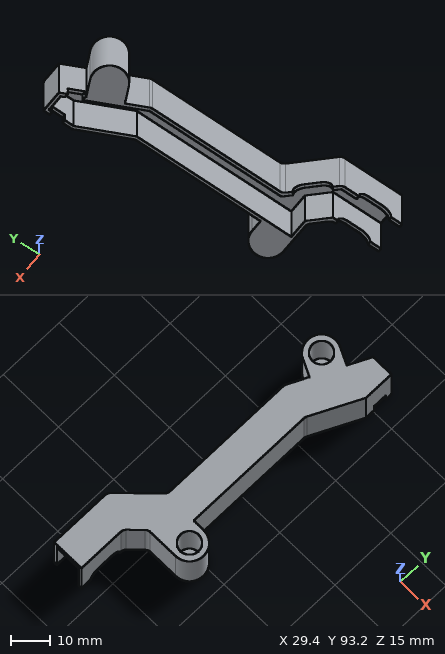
import cadquery as cq
import math

length = 93.2
height = 15.0
width = 10.0
wall = 1.0
roof = 2.0
bend_radius = 2.0

column_x = 10.9
lower_bend_y = 19.0
lower_angle = 45.0
upper_bend_y = 71.6
upper_angle = 26.0
tip_x = 28.0

boss_radius = 5.0
hole_diameter = 6.4
boss_floor = 2.0
lower_boss = (24.4, 24.4)
upper_boss = (11.4, 84.6)

arch_width = 10.25
arch_height = 3.1
arch_corner_radius = 3.0
mouth_arch_y = 8.6
tip_notch_height = 2.8
tip_notch_start = 87.0
tip_notch_end = 91.1

lower_slope = math.tan(math.radians(lower_angle))
upper_slope = math.tan(math.radians(upper_angle))
column_right = column_x + width
lower_bend_top = lower_bend_y + column_x / lower_slope
lower_bend_drop = width * math.tan(math.radians(lower_angle / 2))
upper_bend_drop = width * math.tan(math.radians(upper_angle / 2))
right_upper_bend_y = upper_bend_y - upper_bend_drop
tip_bend_y = right_upper_bend_y + (tip_x - column_right) / upper_slope
tip_left_x = column_x + (length - upper_bend_y) * upper_slope

left_bends = [(column_x, upper_bend_y), (column_x, lower_bend_top), (0, lower_bend_y)]
right_bends = [
    (width, lower_bend_y - lower_bend_drop),
    (column_right, lower_bend_top - lower_bend_drop),
    (column_right, right_upper_bend_y),
]
tip_points = [(tip_x, tip_bend_y), (tip_x, length), (tip_left_x, length)]
boss_bottom_y = lower_boss[1] - boss_radius
boss_corner = (width + (boss_bottom_y - right_bends[0][1]) * lower_slope, boss_bottom_y)
cavity_right_bends = [right_bends[0], boss_corner, (column_right, boss_bottom_y), right_bends[2]]


def channel_outline(right_side):
    """Closed plan outline of the channel with the given bends along its right face."""
    points = [(0, 0), (width, 0)] + right_side + tip_points + left_bends
    return cq.Workplane("XY").polyline(points).close()


def boss_with_arm(center, direction):
    """Round boss with a straight arm of the same width, reaching into the channel."""
    arm_length = 2 * boss_radius
    arm = cq.Workplane("XY").box(arm_length, 2 * boss_radius, height, centered=(False, True, False))
    post = cq.Workplane("XY").circle(boss_radius).extrude(height)
    return post.union(arm).rotate((0, 0, 0), (0, 0, 1), direction).translate((*center, 0))


def round_edge_at(body, point):
    """Round the vertical edge that stands at a plan position."""
    tiny = 0.1
    selector = cq.selectors.BoxSelector(
        (point[0] - tiny, point[1] - tiny, 0), (point[0] + tiny, point[1] + tiny, height)
    )
    return body.edges("|Z").edges(selector).fillet(bend_radius)


def arch_cutter(center, direction, depth):
    """Round-topped notch centred on a plan position, passing along a plan direction."""
    cutter = cq.Workplane("XY").box(depth, arch_width, arch_height, centered=(True, True, False))
    cutter = cutter.edges("|X and >Z").fillet(arch_corner_radius)
    return cutter.rotate((0, 0, 0), (0, 0, 1), direction).translate((*center, 0))


body = channel_outline(right_bends).extrude(height)
body = body.union(boss_with_arm(lower_boss, 180))
body = body.union(boss_with_arm(upper_boss, -upper_angle))

rounded_corners = left_bends + [right_bends[0], boss_corner, right_bends[2]]
for corner in rounded_corners:
    body = round_edge_at(body, corner)

cavity_height = height - roof
cavity = channel_outline(cavity_right_bends).offset2D(-wall, "intersection").extrude(cavity_height)
mouth = cq.Workplane("XY").box(width - 2 * wall, 2 * wall, cavity_height, centered=False)
body = body.cut(cavity).cut(mouth.translate((wall, 0, 0)))

holes = cq.Workplane("XY").workplane(offset=boss_floor).pushPoints([lower_boss, upper_boss])
body = body.cut(holes.circle(hole_diameter / 2).extrude(height - boss_floor))

slant_middle = (column_x / 2, (lower_bend_y + lower_bend_top) / 2)
body = body.cut(arch_cutter((width / 2, mouth_arch_y), 0, 2 * width))
body = body.cut(arch_cutter(slant_middle, 90 + lower_angle, 4 * wall))

tip_notch_x = column_x + (tip_notch_start - upper_bend_y) * upper_slope
tip_notch = cq.Workplane("XY").box(
    tip_x - tip_notch_x, tip_notch_end - tip_notch_start, tip_notch_height, centered=False
)
result = body.cut(tip_notch.translate((tip_notch_x, tip_notch_start, 0)))